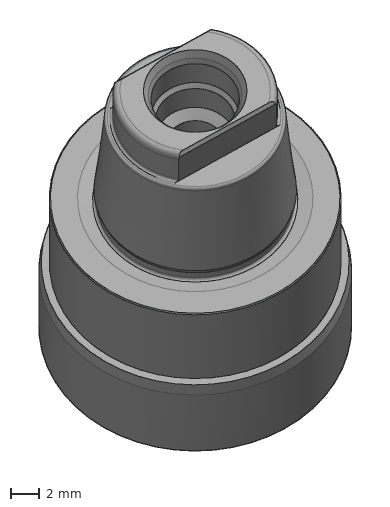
import cadquery as cq
import math

total_height = 27.95
base_radius = 10.998
base_bottom_chamfer = 0.55
base_straight_top = 7.07
base_top = 8.02
base_top_radius = 10.82
drum_radius = 10.25
drum_top = 15.5
drum_edge_chamfer = 0.08

recess_outer_radius = 8.27
recess_depth = 0.28

foot_radius = 7.0
foot_flare_radius = 0.22
foot_top = 16.02
taper_start = 16.43
taper_bottom_radius = 7.13
taper_top_radius = 6.37
taper_top = 24.95
taper_edge_round = 0.22

tip_radius = 5.79
tip_flat_width = 8.0
tip_edge_round = 0.5
tip_root_flare_radius = 0.22
tip_flat_chamfer_height = 0.28
tip_flat_chamfer_width = 0.2

diagonal = math.sqrt(0.5)

mouth_radius = 3.63
mouth_chamfer_radius = 3.3
mouth_chamfer_depth = 0.53
bore_radius = 3.1
bore_start_depth = 0.92
bore_depth = 3.1
pilot_radius = 2.8
pilot_depth = 5.6
through_radius = 1.98
drill_half_angle = math.radians(59)


def make_body():
    """Revolve the base, drum and tapered neck about Z."""
    recess_floor = drum_top - recess_depth
    flare_center_radius = foot_radius + foot_flare_radius
    flare_center_z = recess_floor + foot_flare_radius
    flare_middle = (
        flare_center_radius - foot_flare_radius * diagonal,
        flare_center_z - foot_flare_radius * diagonal,
    )
    profile = (
        cq.Workplane("XZ")
        .lineTo(base_radius - base_bottom_chamfer, 0)
        .lineTo(base_radius, base_bottom_chamfer)
        .lineTo(base_radius, base_straight_top)
        .lineTo(base_top_radius, base_top)
        .lineTo(drum_radius, base_top)
        .lineTo(drum_radius, drum_top - drum_edge_chamfer)
        .lineTo(drum_radius - drum_edge_chamfer, drum_top)
        .lineTo(recess_outer_radius, drum_top)
        .lineTo(flare_center_radius, recess_floor)
        .threePointArc(flare_middle, (foot_radius, flare_center_z))
        .lineTo(foot_radius, foot_top)
        .lineTo(taper_bottom_radius, taper_start)
        .lineTo(taper_top_radius, taper_top)
        .lineTo(0, taper_top)
        .close()
    )
    body = profile.revolve(360, (0, 0, 0), (0, 1, 0))
    return body.faces(">Z").edges().fillet(taper_edge_round)


def make_tip():
    """Round boss cut to two flats, facing -X and +X."""
    flare_center_radius = tip_radius + tip_root_flare_radius
    flare_center_z = taper_top + tip_root_flare_radius
    flare_middle = (
        flare_center_radius - tip_root_flare_radius * diagonal,
        flare_center_z - tip_root_flare_radius * diagonal,
    )
    round_center_radius = tip_radius - tip_edge_round
    round_center_z = total_height - tip_edge_round
    round_middle = (
        round_center_radius + tip_edge_round * diagonal,
        round_center_z + tip_edge_round * diagonal,
    )
    boss = (
        cq.Workplane("XZ")
        .moveTo(0, taper_top)
        .lineTo(flare_center_radius, taper_top)
        .threePointArc(flare_middle, (tip_radius, flare_center_z))
        .lineTo(tip_radius, round_center_z)
        .threePointArc(round_middle, (round_center_radius, total_height))
        .lineTo(0, total_height)
        .close()
        .revolve(360, (0, 0, 0), (0, 1, 0))
    )
    half_width = tip_flat_width / 2
    flat_envelope = (
        cq.Workplane("XZ")
        .moveTo(-half_width, taper_top)
        .lineTo(half_width, taper_top)
        .lineTo(half_width, total_height - tip_flat_chamfer_height)
        .lineTo(half_width - tip_flat_chamfer_width, total_height)
        .lineTo(tip_flat_chamfer_width - half_width, total_height)
        .lineTo(-half_width, total_height - tip_flat_chamfer_height)
        .close()
        .extrude(tip_radius + tip_root_flare_radius, both=True)
    )
    return boss.intersect(flat_envelope)


def make_hole():
    """Revolve the stepped hole that runs through the whole part."""
    pilot_end = total_height - pilot_depth
    drill_cone_height = (pilot_radius - through_radius) / math.tan(drill_half_angle)
    bore_floor = total_height - bore_depth
    return (
        cq.Workplane("XZ")
        .lineTo(through_radius, 0)
        .lineTo(through_radius, pilot_end - drill_cone_height)
        .lineTo(pilot_radius, pilot_end)
        .lineTo(pilot_radius, bore_floor - (bore_radius - pilot_radius))
        .lineTo(bore_radius, bore_floor)
        .lineTo(bore_radius, total_height - bore_start_depth)
        .lineTo(mouth_chamfer_radius, total_height - mouth_chamfer_depth)
        .lineTo(mouth_radius, total_height)
        .lineTo(0, total_height)
        .close()
        .revolve(360, (0, 0, 0), (0, 1, 0))
    )


result = make_body().union(make_tip()).cut(make_hole())